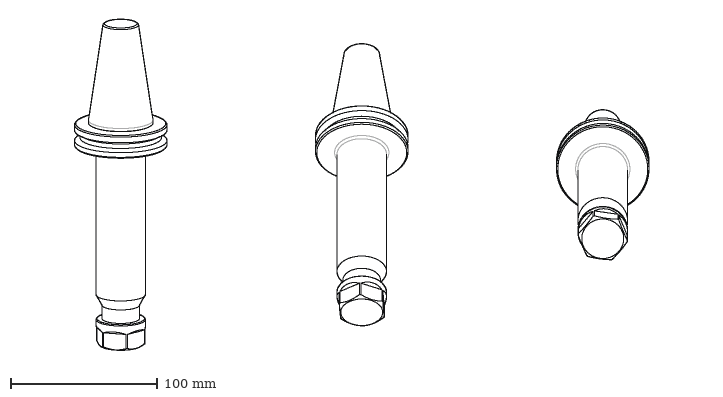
import cadquery as cq
import math

total_height = 228.2

gauge_radius = 22.1
taper_length = 68.5
taper_ratio = 7 / 24
taper_tip_chamfer = 1.0
gauge_land = 2.0
relief_radius = 21.2

flange_radius = 31.7
flange_top = 157.3
flange_bottom = 141.0
flange_chamfer = 1.0
groove_floor_radius = 56.0 / 2
groove_floor_width = 3.2
groove_opening_width = 7.0
groove_middle = 148.8

body_radius = 34.0 / 2
body_fillet = 1.5
cone_top = 35.8
cone_bottom = 28.3
neck_radius = 25.8 / 2

nut_radius = body_radius
nut_height = 18.7
nut_chamfer = 0.7
nut_across_flats = 30.0
flat_height = 11.9
flat_ledge_angle = 40.0
nut_face_radius = 14.4
nut_face_chamfer_height = 1.8
flat_count = 6


def make_holder():
    """Revolve the holder from the nut's top face to the shank tip."""
    gauge_height = total_height - taper_length
    tip_radius = gauge_radius - taper_length * taper_ratio / 2
    below_tip_radius = tip_radius + taper_tip_chamfer * taper_ratio / 2
    half_floor = groove_floor_width / 2
    half_opening = groove_opening_width / 2
    fillet_bulge = body_fillet * (1 - math.sqrt(0.5))
    profile = (
        cq.Workplane("XZ")
        .moveTo(0, nut_height)
        .lineTo(neck_radius, nut_height)
        .lineTo(neck_radius, cone_bottom)
        .lineTo(body_radius, cone_top)
        .lineTo(body_radius, flange_bottom - body_fillet)
        .threePointArc(
            (body_radius + fillet_bulge, flange_bottom - fillet_bulge),
            (body_radius + body_fillet, flange_bottom),
        )
        .lineTo(flange_radius - flange_chamfer, flange_bottom)
        .lineTo(flange_radius, flange_bottom + flange_chamfer)
        .lineTo(flange_radius, groove_middle - half_opening)
        .lineTo(groove_floor_radius, groove_middle - half_floor)
        .lineTo(groove_floor_radius, groove_middle + half_floor)
        .lineTo(flange_radius, groove_middle + half_opening)
        .lineTo(flange_radius, flange_top - flange_chamfer)
        .lineTo(flange_radius - flange_chamfer, flange_top)
        .lineTo(relief_radius, flange_top)
        .lineTo(gauge_radius, gauge_height - gauge_land)
        .lineTo(gauge_radius, gauge_height)
        .lineTo(below_tip_radius, total_height - taper_tip_chamfer)
        .lineTo(tip_radius - taper_tip_chamfer, total_height)
        .lineTo(0, total_height)
        .close()
    )
    return profile.revolve(360, (0, 0, 0), (0, 1, 0))


def make_flat_cutter():
    """Wedge-topped block that cuts one flat on the +Y side of the nut."""
    flat_distance = nut_across_flats / 2
    outer_distance = 2 * nut_radius
    ledge_rise = (outer_distance - flat_distance) * math.tan(math.radians(flat_ledge_angle))
    return (
        cq.Workplane("YZ")
        .moveTo(flat_distance, 0)
        .lineTo(outer_distance, 0)
        .lineTo(outer_distance, flat_height + ledge_rise)
        .lineTo(flat_distance, flat_height)
        .close()
        .extrude(nut_radius, both=True)
    )


def make_nut():
    """Round nut with chamfered ends and six wrench flats."""
    nut = (
        cq.Workplane("XZ")
        .lineTo(nut_face_radius, 0)
        .lineTo(nut_radius, nut_face_chamfer_height)
        .lineTo(nut_radius, nut_height - nut_chamfer)
        .lineTo(nut_radius - nut_chamfer, nut_height)
        .lineTo(0, nut_height)
        .close()
        .revolve(360, (0, 0, 0), (0, 1, 0))
    )
    cutter = make_flat_cutter()
    for index in range(flat_count):
        nut = nut.cut(cutter.rotate((0, 0, 0), (0, 0, 1), index * 360 / flat_count))
    return nut


result = make_holder().union(make_nut())